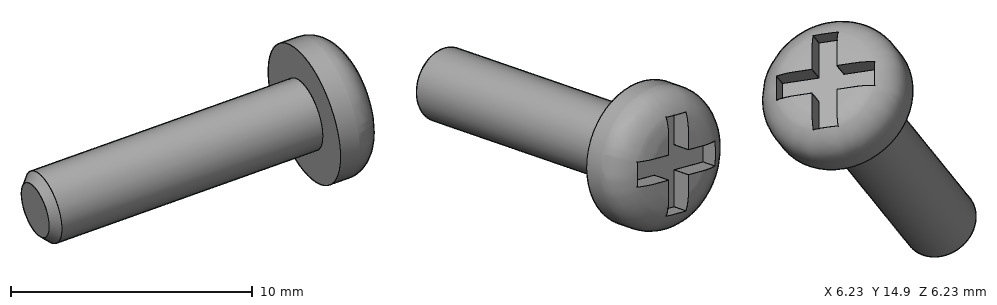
import cadquery as cq

total_length = 14.93
head_diameter = 6.23
shank_diameter = 3.18

head_height = 2.22
rim_height = 0.91
flat_radius = 1.43

tip_chamfer = 0.39

slot_width = 1.09
slot_length = 4.3
slot_depth = 0.9

head_radius = head_diameter / 2
shank_radius = shank_diameter / 2
shank_end = -total_length / 2
crown = total_length / 2
head_base = crown - head_height
rim_top = head_base + rim_height


def make_body():
    """Revolve half of the screw outline about the Y axis."""
    return (
        cq.Workplane("XY")
        .moveTo(0, shank_end)
        .lineTo(shank_radius - tip_chamfer, shank_end)
        .lineTo(shank_radius, shank_end + tip_chamfer)
        .lineTo(shank_radius, head_base)
        .lineTo(head_radius, head_base)
        .lineTo(head_radius, rim_top)
        .ellipseArc(head_radius - flat_radius, crown - rim_top, 0, 90, startAtCurrent=True)
        .lineTo(0, crown)
        .close()
        .revolve(360, (0, 0, 0), (0, 1, 0))
    )


def make_cross_recess():
    """Two crossed slots sunk into the crown."""
    slot_center_y = crown - slot_depth / 2
    along_x = cq.Workplane("XY").box(slot_length, slot_depth, slot_width)
    along_z = cq.Workplane("XY").box(slot_width, slot_depth, slot_length)
    return along_x.union(along_z).translate((0, slot_center_y, 0))


result = make_body().cut(make_cross_recess())